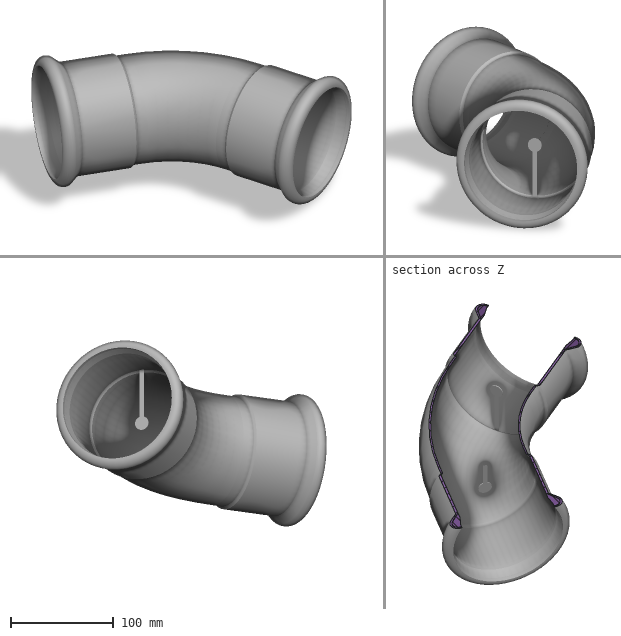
import cadquery as cq
import math

bend_angle = 45.0
bend_radius = 140.7
pipe_radius = 108.0 / 2
pipe_wall = 1.8
pipe_bore_radius = pipe_radius - pipe_wall

end_length = 87.5
socket_radius = 113.0 / 2
socket_wall = 2.3
socket_bore_radius = socket_radius - socket_wall
socket_depth = 74.7
step_length = 2.5
socket_floor = socket_depth + step_length

bead_outer_radius = 130.0 / 2
bead_round = 7.5
bead_center_radius = bead_outer_radius - bead_round
bead_slope = math.radians(37.5)
flare_depth = 20.5
mouth_radius = 56.0
lip_depth = 2.3

groove_round = bead_round - lip_depth
seal_lead_in_depth = 4.7
seal_throat_radius = 54.0
seal_throat_depth = 14.5

target_radius = 6.85
stem_width = 4.5
target_thickness = 1.0
target_depth = socket_depth - target_thickness


def bead_point(radius, angle):
    """Radius and depth of a point on an arc about the bead center."""
    return (
        bead_center_radius + radius * math.cos(angle),
        bead_round + radius * math.sin(angle),
    )


def revolve_about_y(profile):
    return profile.close().revolve(360, (0, 0, 0), (0, 1, 0))


def make_seal():
    """Ring with a rounded outside that follows the hollow bead."""
    profile = (
        cq.Workplane("XY")
        .moveTo(mouth_radius, lip_depth)
        .lineTo(bead_center_radius, lip_depth)
        .threePointArc(bead_point(groove_round, 0), bead_point(groove_round, bead_slope))
        .lineTo(socket_bore_radius, flare_depth)
        .lineTo(seal_throat_radius, seal_throat_depth)
        .lineTo(mouth_radius, seal_lead_in_depth)
    )
    return revolve_about_y(profile)


def make_target(stem_direction):
    """Disc on the socket axis, carried by a stem that reaches into the wall."""
    stem_length = (socket_bore_radius + socket_radius) / 2
    plane = cq.Workplane("XZ", origin=(0, target_depth, 0))
    disc = plane.circle(target_radius).extrude(-target_thickness)
    stem = (
        plane.center(0, stem_direction * stem_length / 2)
        .rect(stem_width, stem_length)
        .extrude(-target_thickness)
    )
    return disc.union(stem)


def make_socket(stem_direction):
    """Socket with its mouth at the origin and its depth along +Y."""
    profile = (
        cq.Workplane("XY")
        .moveTo(mouth_radius, 0)
        .lineTo(bead_center_radius, 0)
        .threePointArc(bead_point(bead_round, 0), bead_point(bead_round, bead_slope))
        .lineTo(socket_radius, flare_depth)
        .lineTo(socket_radius, socket_depth)
        .lineTo(pipe_radius, socket_floor)
        .lineTo(pipe_radius, end_length)
        .lineTo(pipe_bore_radius, end_length)
        .lineTo(pipe_bore_radius, socket_floor)
        .lineTo(socket_bore_radius, socket_depth)
        .lineTo(socket_bore_radius, flare_depth)
        .lineTo(*bead_point(groove_round, bead_slope))
        .threePointArc(bead_point(groove_round, 0), (bead_center_radius, lip_depth))
        .lineTo(mouth_radius, lip_depth)
    )
    return revolve_about_y(profile).union(make_target(stem_direction))


def make_bend():
    """Curved tube between the two straight ends."""
    return (
        cq.Workplane("XZ", origin=(0, end_length, 0))
        .circle(pipe_radius)
        .circle(pipe_bore_radius)
        .revolve(bend_angle, (bend_radius, 3, 0), (bend_radius, 0, 0))
    )


def at_far_end(body):
    """Carry a body from the first mouth to the second, facing outward."""
    center = (bend_radius, end_length, 0)
    return (
        body.mirror("XZ", (0, end_length, 0))
        .rotate(center, (bend_radius, end_length, 1), -bend_angle)
    )


elbow = make_socket(1).union(make_bend()).union(at_far_end(make_socket(-1)))

seals = [make_seal(), at_far_end(make_seal())]

result = cq.Compound.makeCompound([elbow.val(), *[seal.val() for seal in seals]])